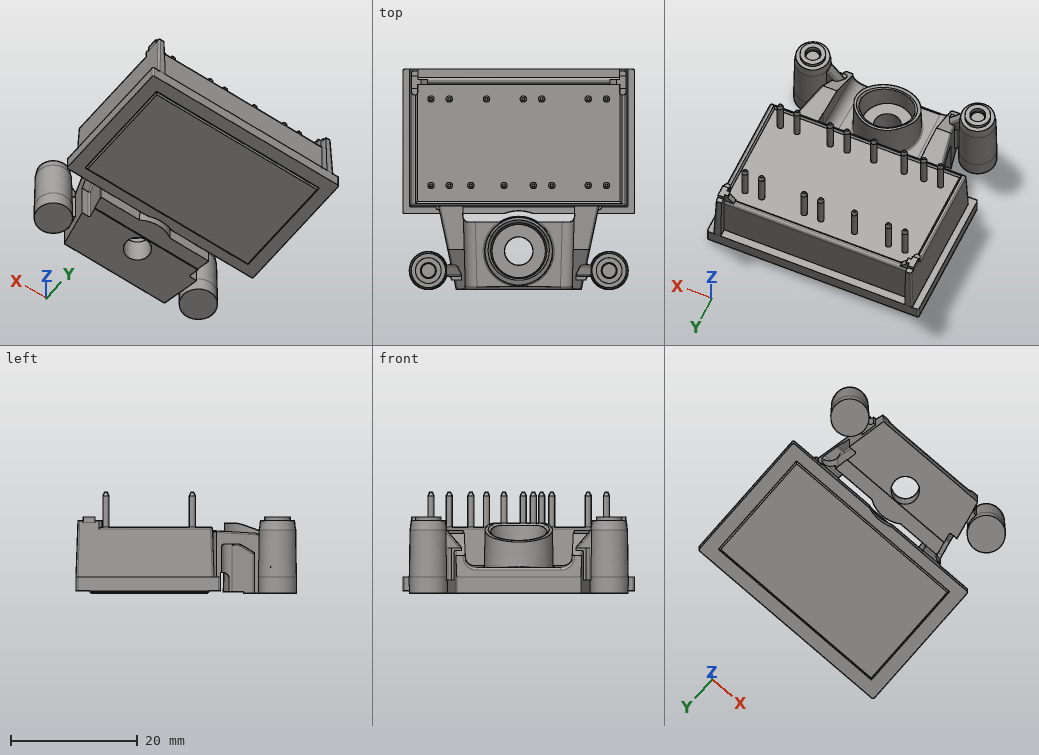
import cadquery as cq
import math

PLATE_X, PLATE_Y = 36.6, 22.85
PLATE_BOTTOM, PLATE_TOP = 0.42, 2.62
PLATE_CORNER_R = 0.3
PLATE_BACK = PLATE_Y / 2
PAD_X, PAD_Y, PAD_CENTER_Y = 32.0, 18.8, -0.17
PAD_EDGE = 0.25

BODY_X, BODY_FRONT = 34.44, -10.4
BODY_CORNER_R = 0.3
DRAFT = 2.0
RIM_Z, RIM_EDGE_R = 10.47, 0.28
REAR_WALL_Y, REAR_EDGE_R = 10.1, 0.55
POCKET_X, POCKET_FRONT, POCKET_BACK = 32.0, -9.5, 8.95
POCKET_DEPTH, POCKET_EDGE = 0.3, 0.29

TOWER_Z, TOWER_FRONT = 11.5, 7.8
TOWER_INNER_X, TOWER_OUTER_X = 15.92, 16.92
TAB_Z, TAB_FRONT, TAB_BACK = 12.1, 8.37, 10.3
LUG_X, LUG_RAMP_X = 15.4, 14.4
LUG_FRONT, LUG_BACK = 8.95, 9.8

PIN_D, PIN_TOP, SHOULDER_Z = 1.0, 15.98, 15.4
PIN_TIP_R = 0.22
REAR_PIN_Y, FRONT_PIN_Y = 6.68, -6.96
OUTER_PIN_X, SECOND_PIN_X = 13.85, 10.97
REAR_PIN_X = (-OUTER_PIN_X, -SECOND_PIN_X, -5.09, 0.72, 3.62, SECOND_PIN_X, OUTER_PIN_X)
FRONT_PIN_X = (-OUTER_PIN_X, -SECOND_PIN_X, -7.56, -2.33, 2.31, 5.22, SECOND_PIN_X, OUTER_PIN_X)

ARM_ROOT_Y, SADDLE_FRONT = -10.2, -23.42
ARM_ROOT_X, SADDLE_FRONT_X = 12.66, 9.87
ARM_ROOT_Z, RAMP_TOP_Z, RAMP_END_Z = 9.93, 9.5, 6.0
RAMP_TOP_Y = -17.1
SADDLE_LEAN = 0.15
SADDLE_BACK, ARM_BOTTOM_Z, ARM_BOTTOM_R = -12.72, 3.3, 0.9
ARM_EDGE_R, ARM_ROOT_R = 0.25, 0.4
FRONT_CORNER_R = 0.15
RELIEF_Z, RELIEF_Y = 0.25, -15.0
VALLEY_Z, VALLEY_SLOPE, VALLEY_R = 4.05, 1.8, 1.85
VALLEY_BACK_X, VALLEY_FRONT_X = 9.08, 8.4
VALLEY_EDGE_R = 0.4
GAP_CORNER_R = 0.9
GAP_TAPER = 0.3
RECESS_BACK, RECESS_FRONT, RECESS_DEPTH = -11.55, -16.8, 1.5
RECESS_Z, RECESS_FRONT_Z, RECESS_SLOPE_Y = 7.8, 6.4, -14.5
RECESS_R, RECESS_ROUND_R, RECESS_EDGE_R = 0.5, 1.7, 0.25

SCREW_Y = -17.32
HOLE_D = 4.45
SLEEVE_BASE_R, SLEEVE_TOP_R = 5.5, 5.3
BORE_BASE_R, BORE_TOP_R, BORE_FLOOR_Z = 4.2, 4.5, 4.7
BORE_CHAMFER, SLEEVE_FOOT_R = 0.4, 0.2
SLEEVE_TOP_Z, SLEEVE_FRONT_Z = 11.12, 8.06
SLEEVE_BEND_Y, SLEEVE_BEND_R = -14.2, 4.5
PLATE_NOTCH_R = 6.34

POST_X, POST_Y, POST_R = 14.27, -20.4, 3.02
POST_SHOULDER_Z, POST_SHOULDER_R = 10.04, 2.9
POST_NECK_R, POST_NECK_Z = 2.7, TOWER_Z
POST_TIP_R, POST_TOP = 2.03, TAB_Z
CUP_R, CUP_DEPTH, CUP_EDGE = 1.25, 0.9, 0.15
WEB_WIDTH, WEB_BOTTOM, WEB_INNER_X = 1.8, 2.1, 9.0
WEB_OUTER_Z, WEB_INNER_Z, WEB_EDGE_R = 10.0, 7.2, 0.3
WEB_FLARE_X, WEB_FLARE_R = 11.2, 0.6


def box(x0, x1, y0, y1, z0, z1):
    """Box between two opposite corners."""
    return cq.Workplane("XY").box(x1 - x0, y1 - y0, z1 - z0, centered=False).translate((x0, y0, z0))


def both_sides(solid):
    """Solid joined with its mirror image across the YZ plane."""
    return solid.union(solid.mirror("YZ"))


def plan_trapezoid(back_y, back_x, front_y, front_x):
    """Outline in plan, symmetric about X = 0, given by its half widths."""
    return cq.Workplane("XY").polyline(
        [(-back_x, back_y), (-front_x, front_y), (front_x, front_y), (back_x, back_y)]
    ).close()


def make_plate():
    """Base plate with a notch for the sleeve and a pad underneath."""
    plate = cq.Workplane("XY").workplane(offset=PLATE_BOTTOM).rect(PLATE_X, PLATE_Y)
    plate = plate.extrude(PLATE_TOP - PLATE_BOTTOM).edges("|Z").fillet(PLATE_CORNER_R)
    notch = cq.Workplane("XY").center(0, SCREW_Y).circle(PLATE_NOTCH_R).extrude(PLATE_TOP)
    pad = cq.Workplane("XY").center(0, PAD_CENTER_Y).rect(PAD_X, PAD_Y).extrude(PLATE_TOP)
    pad = pad.faces("<Z").chamfer(PAD_EDGE)
    return plate.cut(notch).union(pad)


def make_body():
    """Drafted housing with a rounded rim and a shallow pocket in its top."""
    body = (
        cq.Workplane("XY").workplane(offset=PLATE_TOP)
        .center(0, (BODY_FRONT + PLATE_BACK) / 2)
        .rect(BODY_X, PLATE_BACK - BODY_FRONT)
        .extrude(TOWER_Z - PLATE_TOP, taper=DRAFT)
    )
    body = body.faces("<Y or >Y").edges("not |X").fillet(BODY_CORNER_R)
    body = body.cut(box(-PLATE_X, PLATE_X, -PLATE_Y, TOWER_FRONT, RIM_Z, TAB_Z))
    body = body.cut(box(-TOWER_INNER_X, TOWER_INNER_X, 0, PLATE_Y, RIM_Z, TAB_Z))
    body = body.cut(box(-TOWER_INNER_X, TOWER_INNER_X, REAR_WALL_Y, PLATE_Y, PLATE_TOP, TAB_Z))

    near_rim = RIM_Z - 0.01
    rim = cq.selectors.BoxSelector((-PLATE_X, -PLATE_Y, near_rim), (PLATE_X, BODY_FRONT + 1, TAB_Z))
    body = body.edges(rim).edges("|X").fillet(RIM_EDGE_R)
    rear = cq.selectors.BoxSelector(
        (-PLATE_X, REAR_WALL_Y - 0.1, near_rim), (PLATE_X, REAR_WALL_Y + 0.1, RIM_Z + 0.01)
    )
    body = body.edges(rear).edges("|X").fillet(REAR_EDGE_R)

    pocket = (
        cq.Workplane("XY").workplane(offset=RIM_Z)
        .center(0, (POCKET_FRONT + POCKET_BACK) / 2)
        .rect(POCKET_X + 2 * POCKET_EDGE, POCKET_BACK - POCKET_FRONT + 2 * POCKET_EDGE)
        .extrude(-POCKET_DEPTH, taper=math.degrees(math.atan(POCKET_EDGE / POCKET_DEPTH)))
    )
    return body.cut(pocket)


def make_towers():
    """Tab, rounded nose and sloping lug added to each rear corner."""
    nose_r = (TOWER_OUTER_X - TOWER_INNER_X) / 2
    nose = (
        cq.Workplane("XY", origin=(-TOWER_INNER_X - nose_r, TOWER_FRONT, RIM_Z - RIM_EDGE_R))
        .circle(nose_r).extrude(TOWER_Z - RIM_Z + RIM_EDGE_R)
    )
    tab = box(-TOWER_OUTER_X, -TOWER_INNER_X, TAB_FRONT, TAB_BACK, RIM_Z, TAB_Z)
    lug = (
        cq.Workplane("XZ", origin=(0, LUG_BACK, 0))
        .moveTo(-TOWER_OUTER_X, RIM_Z - POCKET_DEPTH).lineTo(-TOWER_OUTER_X, TAB_Z)
        .lineTo(-LUG_X, TAB_Z).lineTo(-LUG_X, TOWER_Z)
        .lineTo(-LUG_RAMP_X, RIM_Z).lineTo(-LUG_RAMP_X, RIM_Z - POCKET_DEPTH)
        .close().extrude(LUG_BACK - LUG_FRONT)
    )
    return both_sides(tab.union(lug).union(nose))


def make_pins():
    """Two rows of round pins with tapered tips."""
    half_d = PIN_D / 2
    pin = (
        cq.Workplane("XZ")
        .polyline([(0, PLATE_TOP), (half_d, PLATE_TOP), (half_d, SHOULDER_Z),
                   (PIN_TIP_R, PIN_TOP), (0, PIN_TOP)])
        .close().revolve(360, (0, 0, 0), (0, 1, 0))
    )
    places = [(x, REAR_PIN_Y) for x in REAR_PIN_X] + [(x, FRONT_PIN_Y) for x in FRONT_PIN_X]
    pins = cq.Workplane("XY")
    for x, y in places:
        pins = pins.union(pin.translate((x, y, 0)))
    return pins


def make_recess():
    """Pocket in the outer face of the left arm, open at the bottom."""
    lean = (ARM_ROOT_X - SADDLE_FRONT_X) / (ARM_ROOT_Y - SADDLE_FRONT)

    def side_x(y):
        return -SADDLE_FRONT_X - lean * (y - SADDLE_FRONT)

    round_end = RECESS_BACK - RECESS_ROUND_R
    plan = (
        cq.Workplane("XY").moveTo(-PLATE_X, RECESS_BACK).lineTo(side_x(RECESS_BACK), RECESS_BACK)
        .radiusArc((side_x(round_end) + RECESS_DEPTH, round_end), RECESS_ROUND_R)
        .lineTo(side_x(RECESS_FRONT) + RECESS_DEPTH, RECESS_FRONT)
        .lineTo(-PLATE_X, RECESS_FRONT).close().extrude(RECESS_Z)
    )
    arch = cq.Workplane("YZ").polyline([
        (RECESS_BACK, 0), (RECESS_BACK, RECESS_Z), (RECESS_SLOPE_Y, RECESS_Z),
        (RECESS_FRONT, RECESS_FRONT_Z), (RECESS_FRONT, 0),
    ]).close().extrude(-PLATE_X).edges("|X and >Z").fillet(RECESS_R)
    recess = plan.intersect(arch)
    floor_rim = cq.selectors.BoxSelector(
        (side_x(round_end) + RECESS_DEPTH, RECESS_FRONT - 0.1, 0.1), (0, round_end - 0.1, RECESS_Z + 0.1)
    )
    return recess.edges(floor_rim).fillet(RECESS_EDGE_R)


def make_root_flares():
    """Concave fillers where the outer sides of the arms meet the housing."""
    flare = (
        cq.Workplane("XY", origin=(0, 0, PLATE_TOP))
        .moveTo(-ARM_ROOT_X - ARM_ROOT_R, BODY_FRONT)
        .radiusArc((-ARM_ROOT_X, BODY_FRONT - ARM_ROOT_R), -ARM_ROOT_R)
        .lineTo(-ARM_ROOT_X + ARM_ROOT_R, BODY_FRONT - ARM_ROOT_R)
        .lineTo(-ARM_ROOT_X + ARM_ROOT_R, ARM_ROOT_Y).lineTo(-ARM_ROOT_X - ARM_ROOT_R, ARM_ROOT_Y)
        .close().extrude(ARM_ROOT_Z - ARM_EDGE_R - PLATE_TOP)
    )
    return both_sides(flare)


def make_saddle():
    """Platform between two sloping arms, with a rounded valley on top."""
    block = plan_trapezoid(ARM_ROOT_Y, ARM_ROOT_X, SADDLE_FRONT, SADDLE_FRONT_X).extrude(ARM_ROOT_Z)
    block = block.edges("|Z and <Y").fillet(FRONT_CORNER_R)
    side = (
        cq.Workplane("YZ").moveTo(ARM_ROOT_Y, ARM_ROOT_Z).lineTo(ARM_ROOT_Y, PLATE_TOP)
        .lineTo(-PLATE_BACK, PLATE_TOP).lineTo(-PLATE_BACK, ARM_BOTTOM_Z)
        .lineTo(SADDLE_BACK + ARM_BOTTOM_R, ARM_BOTTOM_Z)
        .radiusArc((SADDLE_BACK, ARM_BOTTOM_Z - ARM_BOTTOM_R), -ARM_BOTTOM_R)
        .lineTo(SADDLE_BACK, RELIEF_Z).lineTo(RELIEF_Y, RELIEF_Z).lineTo(RELIEF_Y, 0)
        .lineTo(SADDLE_FRONT, 0).lineTo(SADDLE_FRONT, PLATE_TOP)
        .lineTo(SADDLE_FRONT + SADDLE_LEAN, RAMP_END_Z).lineTo(RAMP_TOP_Y, RAMP_TOP_Z)
        .close().extrude(PLATE_X, both=True)
    )
    saddle = block.intersect(side)
    above_ramp_end = cq.selectors.BoxSelector(
        (-PLATE_X, SADDLE_FRONT - 1, RAMP_END_Z - 0.1), (PLATE_X, ARM_ROOT_Y - 0.1, TAB_Z)
    )
    saddle = saddle.edges(above_ramp_end).edges("not |X").fillet(ARM_EDGE_R)

    valley = plan_trapezoid(0, VALLEY_BACK_X, SADDLE_FRONT - 1, VALLEY_FRONT_X).extrude(TAB_Z)
    valley = valley.faces("<Z").edges("not |X").fillet(VALLEY_R)
    valley = valley.rotate((0, SADDLE_FRONT, 0), (1, SADDLE_FRONT, 0), VALLEY_SLOPE)
    valley = valley.translate((0, 0, VALLEY_Z))
    gap = plan_trapezoid(0, VALLEY_BACK_X, SADDLE_BACK, VALLEY_BACK_X - GAP_TAPER).extrude(TAB_Z)
    gap = gap.edges("|Z and <Y").fillet(GAP_CORNER_R)
    saddle = saddle.cut(valley).cut(gap)
    saddle = saddle.cut(both_sides(make_recess()))
    front_lip = cq.selectors.BoxSelector(
        (-VALLEY_FRONT_X, SADDLE_FRONT - 0.1, VALLEY_Z - 0.1),
        (VALLEY_FRONT_X, SADDLE_FRONT + 0.5, RAMP_END_Z - 0.2),
    )
    saddle = saddle.union(make_root_flares())
    return saddle.edges(front_lip).fillet(VALLEY_EDGE_R)


def make_sleeve():
    """Tapered sleeve around the screw hole, cut off by a sloping top."""
    sleeve = (
        cq.Workplane("XZ", origin=(0, SCREW_Y, 0))
        .polyline([(0, RELIEF_Z), (SLEEVE_BASE_R, RELIEF_Z),
                   (SLEEVE_TOP_R, SLEEVE_TOP_Z), (0, SLEEVE_TOP_Z)])
        .close().revolve(360, (0, 0, 0), (0, 1, 0))
    )
    back_y, front_y = SCREW_Y + SLEEVE_BASE_R, SCREW_Y - SLEEVE_BASE_R
    side = (
        cq.Workplane("YZ")
        .polyline([(back_y, 0), (back_y, SLEEVE_TOP_Z), (SLEEVE_BEND_Y, SLEEVE_TOP_Z),
                   (front_y, SLEEVE_FRONT_Z), (front_y, 0)])
        .close().extrude(PLATE_X, both=True)
    )
    bend = cq.selectors.NearestToPointSelector((0, SLEEVE_BEND_Y, SLEEVE_TOP_Z))
    side = side.edges("|X").edges(bend).fillet(SLEEVE_BEND_R)
    return sleeve.intersect(side)


def make_screw_bore():
    """Tapered bore and the through hole in its floor."""
    return (
        cq.Workplane("XZ", origin=(0, SCREW_Y, 0))
        .polyline([(0, 0), (HOLE_D / 2, 0), (HOLE_D / 2, BORE_FLOOR_Z),
                   (BORE_BASE_R, BORE_FLOOR_Z), (BORE_TOP_R, SLEEVE_TOP_Z), (0, SLEEVE_TOP_Z)])
        .close().revolve(360, (0, 0, 0), (0, 1, 0))
    )


def make_post():
    """Left post with a cupped tip and the web that ties it to the arm."""
    cup_z = POST_TOP - CUP_DEPTH
    post = (
        cq.Workplane("XZ")
        .polyline([(0, 0), (POST_R, 0), (POST_R, PLATE_TOP),
                   (POST_SHOULDER_R, POST_SHOULDER_Z), (POST_NECK_R, POST_NECK_Z),
                   (POST_TIP_R, POST_NECK_Z), (POST_TIP_R, POST_TOP), (CUP_R, POST_TOP),
                   (CUP_R, cup_z + CUP_EDGE), (CUP_R - CUP_EDGE, cup_z), (0, cup_z)])
        .close().revolve(360, (0, 0, 0), (0, 1, 0))
        .translate((-POST_X, POST_Y, 0))
    )
    web_outer_x = -POST_X + POST_SHOULDER_R
    web = (
        cq.Workplane("XZ", origin=(0, POST_Y, 0))
        .polyline([(-POST_X, WEB_BOTTOM), (-POST_X, WEB_OUTER_Z), (web_outer_x, WEB_OUTER_Z),
                   (-WEB_INNER_X, WEB_INNER_Z), (-WEB_INNER_X, WEB_BOTTOM)])
        .close().extrude(ARM_ROOT_X, both=True)
    )
    half_web = WEB_WIDTH / 2
    web = web.intersect(box(-POST_X, 0, POST_Y - half_web, POST_Y + half_web, 0, TAB_Z))
    slope_edges = cq.selectors.BoxSelector(
        (web_outer_x + 0.1, POST_Y - WEB_WIDTH, WEB_INNER_Z + 0.1),
        (0, POST_Y + WEB_WIDTH, WEB_OUTER_Z - 0.1),
    )
    web = web.edges(slope_edges).edges("not |Y").fillet(WEB_EDGE_R)

    flare_x, flare_y = WEB_FLARE_R - WEB_FLARE_X, half_web + WEB_FLARE_R
    root = (
        cq.Workplane("XY", origin=(0, POST_Y, WEB_BOTTOM)).moveTo(-WEB_FLARE_X, half_web)
        .radiusArc((flare_x, flare_y), -WEB_FLARE_R)
        .lineTo(-WEB_INNER_X, flare_y).lineTo(-WEB_INNER_X, -flare_y).lineTo(flare_x, -flare_y)
        .radiusArc((-WEB_FLARE_X, -half_web), -WEB_FLARE_R)
        .close().extrude(WEB_INNER_Z - WEB_BOTTOM)
    )
    return post.union(web).union(root)


def make_mount():
    """Saddle with its screw sleeve and both posts."""
    mount = make_saddle().union(make_sleeve())
    near_floor = cq.selectors.BoxSelector(
        (-SLEEVE_BASE_R, SCREW_Y - SLEEVE_BASE_R, VALLEY_Z - 0.1),
        (SLEEVE_BASE_R, SADDLE_BACK, VALLEY_Z + 0.5),
    )
    mount = mount.edges(near_floor).edges("%ELLIPSE").fillet(SLEEVE_FOOT_R)
    mount = mount.cut(make_screw_bore())
    bore_mouth = cq.selectors.BoxSelector(
        (-BORE_TOP_R, SCREW_Y - BORE_TOP_R, SLEEVE_FRONT_Z + 0.2),
        (BORE_TOP_R, SCREW_Y + BORE_TOP_R, SLEEVE_TOP_Z + 0.1), boundingbox=True,
    )
    mount = mount.edges(bore_mouth).chamfer(BORE_CHAMFER)
    return mount.union(both_sides(make_post()))


frame = make_plate().union(make_body()).union(make_towers()).union(make_pins())
result = frame.union(make_mount())